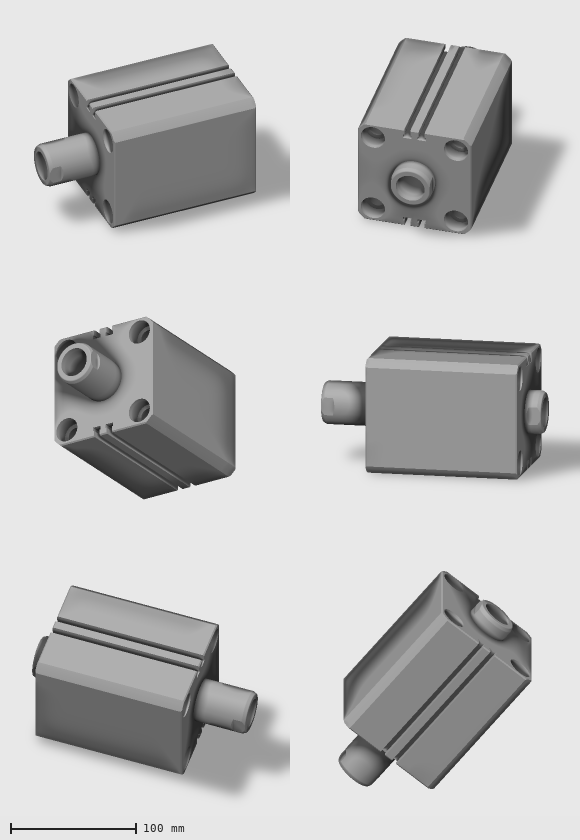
import cadquery as cq
import math

TOTAL_LENGTH = 180.0
FRONT_ROD_REACH = 43.0
REAR_ROD_REACH = 13.0
HOUSING_LENGTH = TOTAL_LENGTH - FRONT_ROD_REACH - REAR_ROD_REACH
HALF_LENGTH = HOUSING_LENGTH / 2

HOUSING_WIDTH = 94.0
CORNER_DIAMETER = 124.0
END_CHAMFER = 1.0

SLOT_OFFSET = 6.0
SLOT_NECK_WIDTH = 5.0
SLOT_NECK_DEPTH = 5.0
SLOT_BASE_WIDTH = 7.2
SLOT_DEPTH = 8.1

HOLE_SPACING = 69.0
HOLE_OFFSET = HOLE_SPACING / 2
HOLE_DIAMETER = 13.0
COUNTERBORE_DIAMETER = 20.0
COUNTERBORE_DEPTH = 13.0

ROD_DIAMETER = 35.1
ROD_RADIUS = ROD_DIAMETER / 2
ROD_CHAMFER_LENGTH = 3.0
ROD_CHAMFER_WIDTH = 1.5
ROD_EDGE_RADIUS = 1.0
FLATS_WIDTH = 32.0
FLATS_LENGTH = 9.9
SOCKET_DIAMETER = 24.0
SOCKET_DEPTH = 36.0
SOCKET_TIP_ANGLE = 120
SOCKET_RADIUS = SOCKET_DIAMETER / 2
SOCKET_TIP_DEPTH = SOCKET_RADIUS / math.tan(math.radians(SOCKET_TIP_ANGLE / 2))


def cylinder_along_y(diameter, start, end):
    """Cylinder about the Y axis between two Y positions."""
    return cq.Workplane("XZ", origin=(0, start, 0)).circle(diameter / 2).extrude(start - end)


def make_slot(x, side):
    """T-slot running the whole housing length; side is +1 for the top, -1 for the bottom."""
    surface = side * HOUSING_WIDTH / 2
    neck_end = surface - side * SLOT_NECK_DEPTH
    floor = surface - side * SLOT_DEPTH
    neck = SLOT_NECK_WIDTH / 2
    base = SLOT_BASE_WIDTH / 2
    return (
        cq.Workplane("XZ", origin=(x, HALF_LENGTH, 0))
        .moveTo(-neck, surface)
        .lineTo(-neck, neck_end)
        .lineTo(-base, neck_end)
        .lineTo(-base, floor)
        .lineTo(base, floor)
        .lineTo(base, neck_end)
        .lineTo(neck, neck_end)
        .lineTo(neck, surface)
        .close()
        .extrude(HOUSING_LENGTH)
    )


def make_mounting_hole():
    """Through hole along Y with a counterbore at each end."""
    floor = HALF_LENGTH - COUNTERBORE_DEPTH
    hole = cylinder_along_y(HOLE_DIAMETER, -HALF_LENGTH, HALF_LENGTH)
    front_counterbore = cylinder_along_y(COUNTERBORE_DIAMETER, -HALF_LENGTH, -floor)
    rear_counterbore = cylinder_along_y(COUNTERBORE_DIAMETER, floor, HALF_LENGTH)
    return hole.union(front_counterbore).union(rear_counterbore)


def make_housing():
    body = cq.Workplane("XY").box(HOUSING_WIDTH, HOUSING_LENGTH, HOUSING_WIDTH)
    body = body.faces("<Y or >Y").edges().chamfer(END_CHAMFER)
    body = body.intersect(cylinder_along_y(CORNER_DIAMETER, -HALF_LENGTH, HALF_LENGTH))
    for x in (-SLOT_OFFSET, SLOT_OFFSET):
        for side in (-1, 1):
            body = body.cut(make_slot(x, side))
    for x in (-HOLE_OFFSET, HOLE_OFFSET):
        for z in (-HOLE_OFFSET, HOLE_OFFSET):
            body = body.cut(make_mounting_hole().translate((x, 0, z)))
    return body.cut(cylinder_along_y(ROD_DIAMETER, -HALF_LENGTH, HALF_LENGTH))


def make_rod(reach, direction):
    """Rod from the housing's middle out past one end face; direction is -1 for -Y, +1 for +Y."""
    length = HALF_LENGTH + reach
    rod = (
        cq.Workplane("XY")
        .lineTo(ROD_RADIUS, 0)
        .lineTo(ROD_RADIUS, length - ROD_CHAMFER_LENGTH)
        .lineTo(ROD_RADIUS - ROD_CHAMFER_WIDTH, length)
        .lineTo(0, length)
        .close()
        .revolve(360, (0, 0, 0), (0, 1, 0))
    )
    rod = rod.faces("%CONE").edges("%CIRCLE").fillet(ROD_EDGE_RADIUS)
    socket_floor = length - SOCKET_DEPTH
    socket = (
        cq.Workplane("XY")
        .moveTo(0, length)
        .lineTo(SOCKET_RADIUS, length)
        .lineTo(SOCKET_RADIUS, socket_floor)
        .lineTo(0, socket_floor - SOCKET_TIP_DEPTH)
        .close()
        .revolve(360, (0, 0, 0), (0, 1, 0))
    )
    flat_start = length - FLATS_LENGTH
    runout = ROD_RADIUS - FLATS_WIDTH / 2
    wrench_flat = (
        cq.Workplane("XY")
        .moveTo(ROD_RADIUS, flat_start - runout)
        .lineTo(FLATS_WIDTH / 2, flat_start)
        .lineTo(FLATS_WIDTH / 2, length)
        .lineTo(ROD_RADIUS, length)
        .close()
        .extrude(ROD_RADIUS, both=True)
    )
    rod = rod.cut(socket).cut(wrench_flat).cut(wrench_flat.mirror("YZ"))
    return rod if direction > 0 else rod.mirror("XZ")


housing = make_housing()
front_rod = make_rod(FRONT_ROD_REACH, -1)
rear_rod = make_rod(REAR_ROD_REACH, 1)
result = cq.Compound.makeCompound([housing.val(), front_rod.val(), rear_rod.val()])